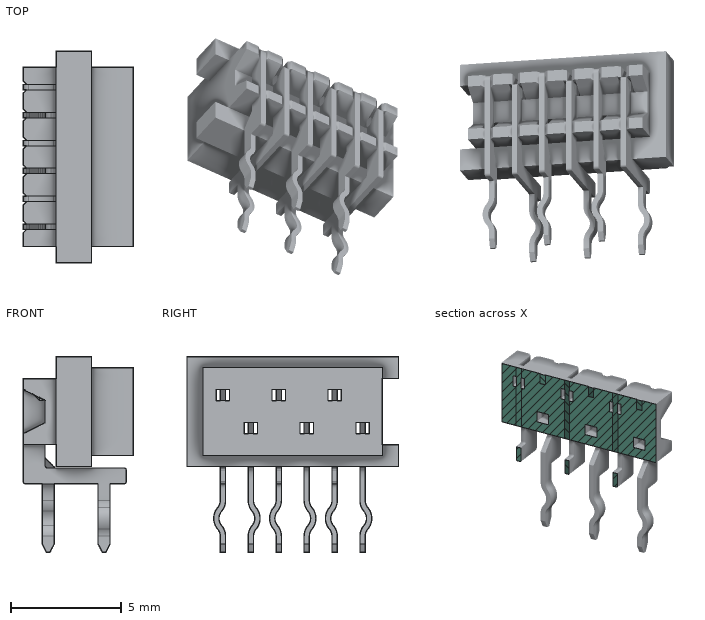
import cadquery as cq
import math


flange_length = 9.62
flange_height = 5.0
flange_front = 1.5
flange_back = 3.11
tail_back = 5.0
row_length = 8.16
tail_height = 4.0
block_height = 3.0

block_bottom = (flange_height - block_height) / 2
block_top = block_bottom + block_height

prong_height = 0.5
recess_depth = 1.0
recess_taper = 0.5
mouth_bottom = block_bottom + prong_height
mouth_top = block_top - prong_height
recess_floor_bottom = mouth_bottom + recess_taper
recess_floor_top = mouth_top - recess_taper

contact_count = 6
contact_pitch = 1.27
contact_thickness = 0.25
slot_chamfer = 0.14
window_width = 0.6

plate_bottom = -0.78
foot_top = -0.06
foot_end = 4.685
leg_width = 0.56
near_leg_start = 0.86
leg_row_pitch = 2.54
far_leg_start = near_leg_start + leg_row_pitch

bend_top = -1.54
bend_radius = 0.63
bend_offset = 0.3

leg_tip = -3.9
taper_start = -3.51
tip_width = 0.16

near_plate_depth = 0.75
near_top_front_radius = 0.25
near_top_back_radius = 0.125
near_bottom_radius = 0.125
brace_bottom = -0.02
brace_top = brace_bottom + near_leg_start + leg_width - near_plate_depth

far_plate_depth = 1.0
notch_ramp_start = 0.25
notch_ramp_end = 0.73
notch_back = 1.01
notch_bottom = mouth_top - (notch_ramp_end - notch_ramp_start)
far_top_front_radius = 0.14
ramp_top_radius = 0.1
notch_radius = 0.14
far_top_back_radius = 0.25
foot_radius = 0.1

contact_places = [
    contact_pitch * ((contact_count - 1) / 2 - index) for index in range(contact_count)
]
near_places = contact_places[0::2]
far_places = contact_places[1::2]


def box(x_range, y_range, z_range):
    """Box between two limits on each axis."""
    size = [high - low for low, high in (x_range, y_range, z_range)]
    corner = (x_range[0], y_range[0], z_range[0])
    return cq.Workplane("XY").box(*size, centered=False).translate(corner)


def centred(length):
    """Limits of a length centred on zero."""
    return -length / 2, length / 2


def side_profile(points, thickness):
    """Extrude an (x, z) outline along Y, centred on y = 0."""
    return cq.Workplane("XZ").polyline(points).close().extrude(thickness / 2, both=True)


def round_corner(body, x, z, radius):
    """Round the edge that runs along Y at the given x and z."""
    edge = cq.selectors.NearestToPointSelector((x, 0, z))
    return body.edges("|Y").edges(edge).fillet(radius)


def recess():
    """Recess along the whole front block, narrowing towards its floor."""
    outline = [
        (0, mouth_bottom),
        (recess_depth, recess_floor_bottom),
        (recess_depth, recess_floor_top),
        (0, mouth_top),
    ]
    return side_profile(outline, row_length)


def contact_slot(depth, bottom, top):
    """Slot for one contact in the front block, with chamfered entry corners."""
    half_slot = contact_thickness / 2
    half_entry = half_slot + slot_chamfer
    outline = [
        (0, -half_entry),
        (slot_chamfer, -half_slot),
        (depth, -half_slot),
        (depth, half_slot),
        (slot_chamfer, half_slot),
        (0, half_entry),
    ]
    floor = cq.Workplane("XY").workplane(offset=bottom)
    return floor.polyline(outline).close().extrude(top - bottom)


def make_housing():
    tail_bottom = (flange_height - tail_height) / 2
    block = box((0, flange_front), centred(row_length), (block_bottom, block_top))
    block = block.cut(recess())
    near_plate_slot = contact_slot(near_plate_depth, block_bottom, mouth_top)
    near_arm_slot = contact_slot(flange_front, mouth_top, block_top)
    for y in near_places:
        block = block.cut(near_plate_slot.translate((0, y, 0)))
        block = block.cut(near_arm_slot.translate((0, y, 0)))
    far_slot = contact_slot(flange_front, block_bottom, block_top)
    for y in far_places:
        block = block.cut(far_slot.translate((0, y, 0)))

    flange = box((flange_front, flange_back), centred(flange_length), (0, flange_height))
    flange = flange.cut(box(
        (flange_front, flange_back),
        (row_length / 2, flange_length / 2),
        (block_bottom, block_top),
    ))
    tail = box(
        (flange_back, tail_back), centred(row_length), (tail_bottom, tail_bottom + tail_height)
    )
    housing = flange.union(block).union(tail)

    low_window = box((0, tail_back), centred(window_width), (mouth_bottom, recess_floor_bottom))
    high_window = box((0, tail_back), centred(window_width), (recess_floor_top, mouth_top))
    for y in near_places:
        housing = housing.cut(low_window.translate((0, y, 0)))
    for y in far_places:
        housing = housing.cut(high_window.translate((0, y, 0)))
    return housing


def make_leg(start, bow_side):
    """Leg from x = start, bowed out to +Y or -Y (bow_side 1 or -1), with a pointed tip."""
    flank_y = bow_side * bend_offset / 2
    flank_height = math.sqrt(bend_radius**2 - (bend_radius - bend_offset / 2) ** 2)
    centreline = (
        cq.Workplane("YZ")
        .moveTo(0, plate_bottom)
        .lineTo(0, bend_top)
        .tangentArcPoint((flank_y, bend_top - flank_height), relative=False)
        .tangentArcPoint((flank_y, bend_top - 3 * flank_height), relative=False)
        .tangentArcPoint((0, bend_top - 4 * flank_height), relative=False)
        .lineTo(0, leg_tip)
    )
    section = cq.Workplane("XY").workplane(offset=plate_bottom).rect(leg_width, contact_thickness)
    strip = section.sweep(centreline)

    tip_outline = [
        (-leg_width / 2, plate_bottom),
        (-leg_width / 2, taper_start),
        (-tip_width / 2, leg_tip),
        (tip_width / 2, leg_tip),
        (leg_width / 2, taper_start),
        (leg_width / 2, plate_bottom),
    ]
    reach = contact_thickness + 2 * bend_offset
    leg = strip.intersect(side_profile(tip_outline, reach))
    return leg.translate((start + leg_width / 2, 0, 0))


def make_near_contact():
    """Contact with an arm along the upper prongs and a leg just behind the plate, bowed to +Y."""
    leg_back = near_leg_start + leg_width
    outline = [
        (0, plate_bottom),
        (leg_back, plate_bottom),
        (leg_back, brace_bottom),
        (near_plate_depth, brace_top),
        (near_plate_depth, mouth_top),
        (flange_front, mouth_top),
        (flange_front, block_top),
        (0, block_top),
    ]
    plate = side_profile(outline, contact_thickness)
    plate = round_corner(plate, 0, block_top, near_top_front_radius)
    plate = round_corner(plate, flange_front, block_top, near_top_back_radius)
    plate = round_corner(plate, 0, plate_bottom, near_bottom_radius)
    return plate.union(make_leg(near_leg_start, 1))


def make_far_contact():
    """Contact with a notched top and a long foot to its leg; the leg bows to -Y."""
    outline = [
        (0, plate_bottom),
        (foot_end, plate_bottom),
        (foot_end, foot_top),
        (far_plate_depth, foot_top),
        (far_plate_depth, block_bottom),
        (flange_front, block_bottom),
        (flange_front, block_top),
        (notch_back, block_top),
        (notch_back, notch_bottom),
        (notch_ramp_end, notch_bottom),
        (notch_ramp_start, mouth_top),
        (0, mouth_top),
    ]
    plate = side_profile(outline, contact_thickness)
    plate = round_corner(plate, 0, mouth_top, far_top_front_radius)
    plate = round_corner(plate, notch_ramp_start, mouth_top, ramp_top_radius)
    plate = round_corner(plate, notch_ramp_end, notch_bottom, notch_radius)
    plate = round_corner(plate, notch_back, notch_bottom, notch_radius)
    plate = round_corner(plate, notch_back, block_top, far_top_back_radius)
    for x, z in [
        (0, plate_bottom),
        (foot_end, plate_bottom),
        (foot_end, foot_top),
        (far_plate_depth, foot_top),
    ]:
        plate = round_corner(plate, x, z, foot_radius)
    return plate.union(make_leg(far_leg_start, -1))


housing = make_housing()
near_contacts = [make_near_contact().translate((0, y, 0)) for y in near_places]
far_contacts = [make_far_contact().translate((0, y, 0)) for y in far_places]

result = cq.Compound.makeCompound([
    housing.val(),
    *[contact.val() for contact in near_contacts],
    *[contact.val() for contact in far_contacts],
])